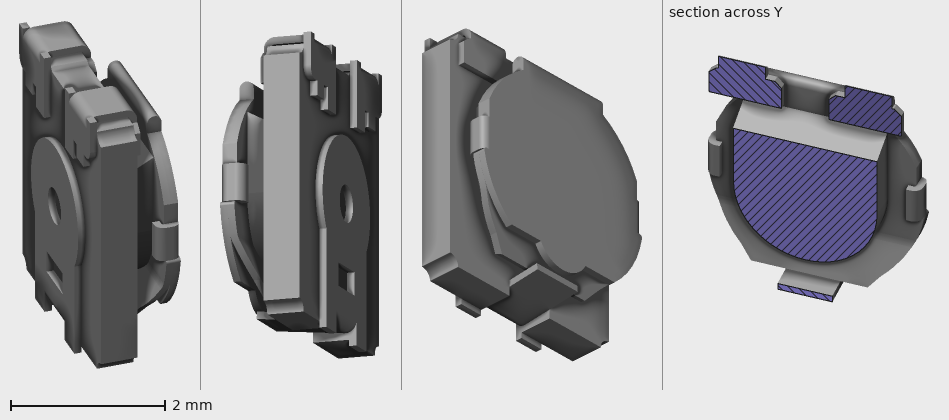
import cadquery as cq
import math


sheet = 0.1
bend_radius = 0.152
inner_bend_radius = bend_radius - sheet

base_width = 3.0
base_depth = 0.5
base_top = 1.845
base_bottom = -1.718
base_corner_radius = 0.152
gap_half_width = 0.36
gap_depth = 0.055

top_edge = 2.0
end_outer_x = 1.35
end_inner_x = 0.403
end_corner_radius = 0.152
end_plate_bottom = 1.4
tooth_outer_x = 1.102
tooth_inner_x = 0.845
tooth_bottom = 1.205
leg_outer_x = 0.703
leg_bottom = 1.102
strap_outer_x = 1.21
strap_inner_x = 0.547
clip_outer_x = 1.338
clip_inner_x = 0.325
clip_top = 1.795
clip_bottom = 1.37
clip_outer_chamfer = 0.105
clip_inner_chamfer = 0.095
clip_chamfer_height = 0.09

center_head_radius = 0.9
center_hole_radius = 0.25
center_half_width = 0.755
center_bottom = -1.8
tongue_half_width = 0.38
tongue_bend_z = -1.475
tongue_rise = 6.0
window_half_width = 0.305
window_top = -0.845
window_bottom = -1.155

drum_radius = 1.0
drum_length = 0.403
drum_top_back = 1.085
drum_top_front = 0.875

disc_radius = 1.51
disc_half_width = 1.39
ridge_half_width = 0.752
ridge_top = 1.55
chord_z = -1.155
pointer_radius = 0.475
pointer_bottom = -1.41
claw_top = 0.3
claw_bottom = -0.198
ledge_radius = 0.045
claw_lip_radius = 0.125
claw_reach = 1.292

flap_bend_z = -0.6
flap_angle = 20.0
flap_inner_radius = 0.3
flap_tip_z = -1.338
flap_taper = 0.19

base_back = base_depth
disc_front = base_back + drum_length
cover_front = disc_front + sheet
cover_back = cover_front + sheet
chord_half_width = math.sqrt(disc_radius**2 - chord_z**2)
flat_top = math.sqrt(disc_radius**2 - disc_half_width**2)
shoulder_z = math.sqrt(disc_radius**2 - ridge_half_width**2)
ledge_outer_x = math.sqrt(disc_radius**2 - claw_bottom**2)


def slab(outline, y_front, thickness):
    """Extrude an XZ outline backward from y_front."""
    return outline.extrude(-thickness).translate((0, y_front, 0))


def front_sketch():
    return cq.Workplane("XZ")


def side_strip(outline, x_min, x_max):
    """Extrude a YZ outline between two X places."""
    return outline.extrude(x_max - x_min).translate((x_min, 0, 0))


def box(x_min, x_max, y_min, y_max, z_min, z_max):
    size = (x_max - x_min, y_max - y_min, z_max - z_min)
    return cq.Workplane("XY").box(*size, centered=False).translate((x_min, y_min, z_min))


def polar(center, radius, degrees):
    angle = math.radians(degrees)
    return (center[0] + radius * math.cos(angle), center[1] + radius * math.sin(angle))


def make_base():
    half = base_width / 2
    base = box(-half, half, 0, base_back, base_bottom, base_top)
    corners = [(x, z) for x in (-half, half) for z in (base_bottom, base_top)]
    base = base.cut(slab(front_sketch().pushPoints(corners).circle(base_corner_radius), 0, base_depth))
    gap_floor = base_top - gap_depth
    gap_mouth = gap_half_width + gap_depth
    gap = front_sketch().polyline([
        (-gap_mouth, base_top),
        (-gap_half_width, gap_floor),
        (gap_half_width, gap_floor),
        (gap_mouth, base_top),
    ]).close()
    base = base.cut(slab(gap, 0, base_depth))
    tongue_slot = box(
        -tongue_half_width, tongue_half_width, 0, base_back, base_bottom, tongue_bend_z
    )
    return base.cut(tongue_slot)


def end_front_plate():
    plate = front_sketch().polyline([
        (-end_outer_x, top_edge),
        (-end_outer_x, end_plate_bottom),
        (-tooth_outer_x, end_plate_bottom),
        (-tooth_outer_x, tooth_bottom),
        (-tooth_inner_x, tooth_bottom),
        (-tooth_inner_x, end_plate_bottom),
        (-leg_outer_x, end_plate_bottom),
        (-leg_outer_x, leg_bottom),
        (-end_inner_x, leg_bottom),
        (-end_inner_x, top_edge),
    ]).close()
    plate = slab(plate, -sheet, sheet)
    plate = plate.edges(cq.selectors.NearestToPointSelector(
        (-end_outer_x, -sheet / 2, end_plate_bottom))).fillet(end_corner_radius)
    room = box(-strap_outer_x, -strap_inner_x, -sheet, 0, top_edge - bend_radius, top_edge)
    return plate.cut(room)


def end_strap():
    y_front = -sheet
    y_back = base_back + sheet
    strap = cq.Workplane("YZ").moveTo((y_front + y_back) / 2, (clip_top + top_edge) / 2).rect(
        y_back - y_front, top_edge - clip_top)
    strap = side_strip(strap, -strap_outer_x, -strap_inner_x)
    strap = strap.edges("|X and >Z").fillet(bend_radius)
    inside = cq.Workplane("YZ").moveTo(base_back / 2, (clip_top + top_edge - sheet) / 2).rect(
        base_back, top_edge - sheet - clip_top)
    inside = side_strip(inside, -strap_outer_x, -strap_inner_x)
    inside = inside.edges("|X and >Z").fillet(inner_bend_radius)
    front_rest = box(-strap_outer_x, -strap_inner_x, -sheet, 0, clip_top, top_edge - bend_radius)
    return strap.cut(inside).cut(front_rest)


def end_clip():
    clip = front_sketch().polyline([
        (-clip_outer_x, clip_bottom),
        (-clip_outer_x, clip_top - clip_chamfer_height),
        (-clip_outer_x + clip_outer_chamfer, clip_top),
        (-clip_inner_x - clip_inner_chamfer, clip_top),
        (-clip_inner_x, clip_top - clip_chamfer_height),
        (-clip_inner_x, clip_bottom),
    ]).close()
    return slab(clip, base_back, sheet)


def make_end_terminal(mirrored):
    terminal = end_front_plate().union(end_strap()).union(end_clip())
    return terminal.mirror("YZ") if mirrored else terminal


def center_plate():
    plate = slab(front_sketch().circle(center_head_radius), -sheet, sheet)
    plate = plate.union(box(-center_half_width, center_half_width, -sheet, 0, center_bottom, 0))
    plate = plate.cut(slab(front_sketch().circle(center_hole_radius), -sheet, sheet))
    plate = plate.cut(box(
        -window_half_width, window_half_width, -sheet, 0, window_bottom, window_top))
    return plate.cut(box(
        -tongue_half_width, tongue_half_width, -sheet, 0, center_bottom, tongue_bend_z))


def center_tongue():
    """Tongue bent backward through the base, rising until it reaches below the cover."""
    center = (-sheet + bend_radius, tongue_bend_z)
    bend_end = 270 + tongue_rise
    bend_mid = (180 + bend_end) / 2
    rise = math.radians(tongue_rise)
    outer_end = polar(center, bend_radius, bend_end)
    inner_end = polar(center, inner_bend_radius, bend_end)
    length = (cover_front - outer_end[0]) / math.cos(rise)
    step = (length * math.cos(rise), length * math.sin(rise))
    outline = (
        cq.Workplane("YZ")
        .moveTo(-sheet, tongue_bend_z)
        .threePointArc(polar(center, bend_radius, bend_mid), outer_end)
        .lineTo(outer_end[0] + step[0], outer_end[1] + step[1])
        .lineTo(inner_end[0] + step[0], inner_end[1] + step[1])
        .lineTo(*inner_end)
        .threePointArc(polar(center, inner_bend_radius, bend_mid), (0, tongue_bend_z))
        .close()
    )
    return side_strip(outline, -tongue_half_width, tongue_half_width)


def make_center_terminal():
    return center_plate().union(center_tongue())


flap_bend_center = (disc_front - flap_inner_radius, flap_bend_z)
flap_inner_mid = polar(flap_bend_center, flap_inner_radius, -flap_angle / 2)
flap_inner_end = polar(flap_bend_center, flap_inner_radius, -flap_angle)
flap_outer_radius = flap_inner_radius + sheet
flap_outer_mid = polar(flap_bend_center, flap_outer_radius, -flap_angle / 2)
flap_outer_end = polar(flap_bend_center, flap_outer_radius, -flap_angle)
flap_slope = math.tan(math.radians(flap_angle))


def flap_front_y(z):
    """Y of the straight part of the flap's front face at height z."""
    return flap_inner_end[0] - (flap_inner_end[1] - z) * flap_slope


def make_drum():
    body = slab(front_sketch().circle(drum_radius), base_back, drum_length)
    body = body.union(box(
        -drum_radius, drum_radius, base_back, disc_front, 0, drum_top_back))
    side = (
        cq.Workplane("YZ")
        .moveTo(base_back, drum_top_front)
        .lineTo(disc_front, drum_top_back)
        .lineTo(disc_front, flap_bend_z)
        .threePointArc(flap_inner_mid, flap_inner_end)
        .lineTo(flap_front_y(-drum_radius), -drum_radius)
        .lineTo(base_back, -drum_radius)
        .close()
    )
    return body.intersect(side_strip(side, -drum_radius, drum_radius))


def disc_blank():
    """Prism along Y with the outline that both rotor discs share."""
    upper_mid_angle = math.degrees((math.atan2(flat_top, disc_half_width)
                                    + math.atan2(shoulder_z, ridge_half_width)) / 2)
    lower_mid_angle = math.degrees((math.atan2(claw_bottom, ledge_outer_x)
                                    + math.atan2(chord_z, chord_half_width)) / 2)
    upper_mid = polar((0, 0), disc_radius, upper_mid_angle)
    lower_mid = polar((0, 0), disc_radius, lower_mid_angle)
    blank = (
        front_sketch()
        .moveTo(-ridge_half_width, ridge_top)
        .lineTo(ridge_half_width, ridge_top)
        .lineTo(ridge_half_width, shoulder_z)
        .threePointArc(upper_mid, (disc_half_width, flat_top))
        .lineTo(disc_half_width, claw_bottom)
        .lineTo(ledge_outer_x, claw_bottom)
        .threePointArc(lower_mid, (chord_half_width, chord_z))
        .lineTo(-chord_half_width, chord_z)
        .threePointArc((-lower_mid[0], lower_mid[1]), (-ledge_outer_x, claw_bottom))
        .lineTo(-disc_half_width, claw_bottom)
        .lineTo(-disc_half_width, flat_top)
        .threePointArc((-upper_mid[0], upper_mid[1]), (-ridge_half_width, shoulder_z))
        .close()
    )
    blank = slab(blank, 0, cover_back)
    for x in (-ledge_outer_x, ledge_outer_x):
        corner = cq.selectors.NearestToPointSelector((x, cover_back / 2, claw_bottom))
        blank = blank.edges(corner).fillet(ledge_radius)
    return blank


def make_wiper():
    ridge_mid = polar((cover_front, ridge_top - sheet), sheet, 135)
    flap_front_tip = (flap_front_y(flap_tip_z), flap_tip_z)
    tilt = math.radians(flap_angle)
    flap_back_tip = (
        flap_front_tip[0] + sheet * math.cos(tilt),
        flap_front_tip[1] - sheet * math.sin(tilt),
    )
    side = (
        cq.Workplane("YZ")
        .moveTo(cover_front, ridge_top)
        .threePointArc(ridge_mid, (disc_front, ridge_top - sheet))
        .lineTo(disc_front, flap_bend_z)
        .threePointArc(flap_inner_mid, flap_inner_end)
        .lineTo(*flap_front_tip)
        .lineTo(*flap_back_tip)
        .lineTo(*flap_outer_end)
        .threePointArc(flap_outer_mid, (cover_front, flap_bend_z))
        .close()
    )
    tip_half_width = chord_half_width - flap_taper
    tail = front_sketch().polyline([
        (-chord_half_width, chord_z),
        (chord_half_width, chord_z),
        (tip_half_width, flap_back_tip[1]),
        (-tip_half_width, flap_back_tip[1]),
    ]).close()
    outline = disc_blank().union(slab(tail, 0, cover_back))
    return side_strip(side, -disc_radius, disc_radius).intersect(outline)


def claw():
    """Claw on the -X side that wraps from the cover around the wiper's edge."""
    outer_x = -disc_half_width - sheet
    back_center = (-disc_half_width, cover_front)
    lip_center = (outer_x + claw_lip_radius, disc_front)
    lip_inner_radius = claw_lip_radius - sheet
    outline = (
        cq.Workplane("XY")
        .moveTo(-disc_half_width, cover_back)
        .threePointArc(polar(back_center, sheet, 135), (outer_x, cover_front))
        .lineTo(outer_x, disc_front)
        .threePointArc(
            polar(lip_center, claw_lip_radius, 225), (lip_center[0], disc_front - claw_lip_radius))
        .lineTo(-claw_reach, disc_front - claw_lip_radius)
        .lineTo(-claw_reach, disc_front - lip_inner_radius)
        .lineTo(lip_center[0], disc_front - lip_inner_radius)
        .threePointArc(
            polar(lip_center, lip_inner_radius, 225), (-disc_half_width, disc_front))
        .close()
    )
    return outline.extrude(claw_top - claw_bottom).translate((0, 0, claw_bottom))


def make_cover():
    ridge_mid = polar((cover_front, ridge_top - sheet), sheet, 45)
    side = (
        cq.Workplane("YZ")
        .moveTo(cover_front, ridge_top)
        .threePointArc(ridge_mid, (cover_back, ridge_top - sheet))
        .lineTo(cover_back, chord_z)
        .lineTo(cover_front, chord_z)
        .close()
    )
    cover = side_strip(side, -disc_radius, disc_radius).intersect(disc_blank())
    pointer = slab(
        front_sketch().center(0, pointer_bottom + pointer_radius).circle(pointer_radius),
        cover_front, sheet)
    return cover.union(pointer).union(claw()).union(claw().mirror("YZ"))


base = make_base()
end_terminals = [make_end_terminal(mirrored) for mirrored in (False, True)]
center_terminal = make_center_terminal()
drum = make_drum()
wiper = make_wiper()
cover = make_cover()

result = cq.Compound.makeCompound([
    base.val(),
    *[terminal.val() for terminal in end_terminals],
    center_terminal.val(),
    drum.val(),
    wiper.val(),
    cover.val(),
])